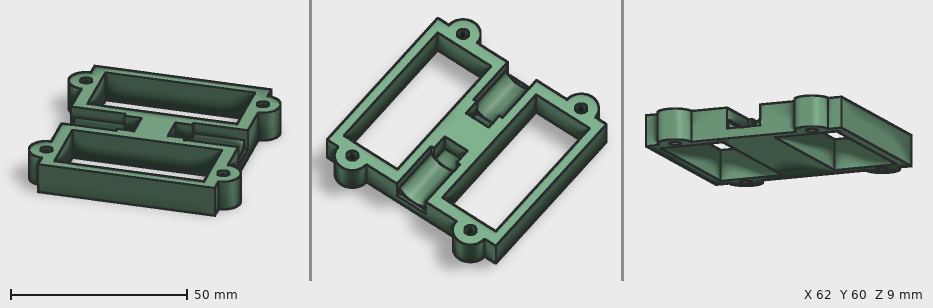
import cadquery as cq

frame_length = 52.0
frame_width = 60.0
height = 9.0
window_length = 44.0
window_width = 19.0
window_side_wall = 3.0
window_offset = frame_width / 2 - window_side_wall - window_width / 2

lug_radius = 5.0
screw_diameter = 3.4
lug_offset_x = frame_length / 2
lug_offset_y = 21.0

cradle_width = 10.2
cradle_length = 16.0
cradle_radius = 6.1
cradle_floor = height - cradle_radius
relief_length = 1.0
slot_width = 8.0
slot_length = 5.0


def cradle_block(x_start, length, width):
    """Box from the cradle floor up to the top face, starting at x_start and centred on Y."""
    return (
        cq.Workplane("XY", origin=(x_start, 0, cradle_floor))
        .box(length, width, cradle_radius, centered=(False, True, False))
    )


def make_frame():
    """Plate with lugs, windows and screw holes."""
    lug_points = [(x, y) for x in (-lug_offset_x, lug_offset_x) for y in (-lug_offset_y, lug_offset_y)]
    plate = cq.Workplane("XY").box(frame_length, frame_width, height, centered=(True, True, False))
    lugs = cq.Workplane("XY").pushPoints(lug_points).circle(lug_radius).extrude(height)
    windows = (
        cq.Workplane("XY")
        .pushPoints([(0, -window_offset), (0, window_offset)])
        .rect(window_length, window_width)
        .extrude(height)
    )
    screw_holes = cq.Workplane("XY").pushPoints(lug_points).circle(screw_diameter / 2).extrude(height)
    return plate.union(lugs).cut(windows).cut(screw_holes)


def make_cradle_cutter():
    """Space removed at the -X end: square relief, round-bottomed cradle, narrow slot."""
    x_open = -frame_length / 2
    round_bottom = (
        cq.Workplane("YZ", origin=(x_open, 0, height))
        .circle(cradle_radius)
        .extrude(cradle_length)
    )
    trough = cradle_block(x_open, cradle_length, cradle_width).intersect(round_bottom)
    relief = cradle_block(x_open, relief_length, cradle_width)
    slot = cradle_block(x_open + cradle_length, slot_length, slot_width)
    return trough.union(relief).union(slot)


cradle_cutter = make_cradle_cutter()
result = make_frame().cut(cradle_cutter).cut(cradle_cutter.mirror("YZ"))